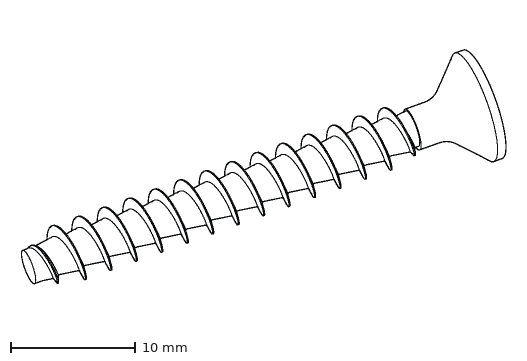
import cadquery as cq
import math


total_length = 40.0
head_diameter = 9.3
rim_height = 0.75
head_cone_half_angle = math.radians(45)

shank_diameter = 3.5
neck_fillet_radius = 2.0
shank_end_depth = 6.2

core_diameter = 2.86

pitch = 2.243
thread_diameter = 5.0
crest_width = 0.1
tooth_root_width = 0.5
heel_diameter = 3.3
heel_gap = 0.05
root_overlap = 0.015
start_depth = 5.83
lead_in_turns = 1
rise_turns = 1
full_turns = 12.9
fade_turns = 1.15
sunk_step = 0.003
sunk_heel_length = 0.1

head_radius = head_diameter / 2
shank_radius = shank_diameter / 2
core_radius = core_diameter / 2
thread_radius = thread_diameter / 2
heel_radius = heel_diameter / 2


def make_body():
    """Head, filleted neck, shank and plain core as one revolved profile."""
    cone_tip_depth = rim_height + (head_radius - shank_radius) / math.tan(head_cone_half_angle)
    tangent_length = neck_fillet_radius * math.tan(head_cone_half_angle / 2)
    fillet_end_depth = cone_tip_depth + tangent_length
    arc_center_radius = shank_radius + neck_fillet_radius

    def arc_point(angle):
        return (
            arc_center_radius - neck_fillet_radius * math.cos(angle),
            -fillet_end_depth + neck_fillet_radius * math.sin(angle),
        )

    return (
        cq.Workplane("XZ")
        .lineTo(head_radius, 0)
        .lineTo(head_radius, -rim_height)
        .lineTo(*arc_point(head_cone_half_angle))
        .threePointArc(arc_point(head_cone_half_angle / 2), arc_point(0))
        .lineTo(shank_radius, -shank_end_depth)
        .lineTo(core_radius, -shank_end_depth)
        .lineTo(core_radius, -total_length)
        .lineTo(0, -total_length)
        .close()
        .revolve(360, (0, 0), (0, 1))
    )


def thread_section(crest_radius, heel_radius, inner_radius, heel_end):
    """Corners of the thread section as (radius, height above the middle of the tooth)."""
    return [
        (inner_radius, tooth_root_width / 2),
        (crest_radius, crest_width / 2),
        (crest_radius, -crest_width / 2),
        (heel_radius, -tooth_root_width / 2),
        (inner_radius, heel_end),
    ]


def helix_edge(corner_from, corner_to, turn_from, turn_to):
    """Right-hand helix between two section corners; its radius and height change linearly with angle."""
    radius_from, height_from = corner_from
    radius_to, height_to = corner_to
    low = height_to - turn_to * pitch - start_depth
    high = height_from - turn_from * pitch - start_depth
    height = high - low
    turns = turn_to - turn_from
    if radius_from == radius_to:
        helix = cq.Wire.makeHelix(height / turns, height, radius_to)
    else:
        slant = math.hypot(radius_from - radius_to, height)
        cone_angle = math.degrees(math.atan2(radius_from - radius_to, height))
        helix = cq.Wire.makeHelix(slant / turns, slant, radius_to, angle=cone_angle)
    start_angle = 180 - 360 * turn_to
    helix = helix.rotate(cq.Vector(0, 0, 0), cq.Vector(0, 0, 1), start_angle)
    return helix.translate(cq.Vector(0, 0, low)).Edges()[0]


def make_thread():
    """Right-hand thread: a narrow tooth followed by a heel that tapers towards the tip."""
    inner_radius = core_radius - root_overlap
    heel_end = tooth_root_width / 2 - pitch + heel_gap
    buried_radius = shank_radius - root_overlap
    low_section = thread_section(buried_radius, heel_radius, inner_radius, heel_end)
    full_section = thread_section(thread_radius, heel_radius, inner_radius, heel_end)
    sunk_section = thread_section(
        inner_radius + 2 * sunk_step,
        inner_radius + sunk_step,
        inner_radius,
        -tooth_root_width / 2 - sunk_heel_length,
    )
    full_from = rise_turns
    full_to = full_from + full_turns
    stations = [
        (-lead_in_turns, low_section),
        (0, low_section),
        (full_from, full_section),
        (full_to, full_section),
        (full_to + fade_turns, sunk_section),
    ]

    faces = []
    edge_sets = []
    for (turn_from, section_from), (turn_to, section_to) in zip(stations, stations[1:]):
        edges = [
            helix_edge(corner_from, corner_to, turn_from, turn_to)
            for corner_from, corner_to in zip(section_from, section_to)
        ]
        for edge, next_edge in zip(edges, edges[1:] + edges[:1]):
            faces.append(cq.Face.makeRuledSurface(edge, next_edge))
        edge_sets.append(edges)

    top_corners = [edge.endPoint() for edge in edge_sets[0]]
    tip_corners = [edge.startPoint() for edge in edge_sets[-1]]
    for corners in (top_corners, tip_corners):
        faces.append(cq.Face.makeFromWires(cq.Wire.makePolygon(corners, close=True)))
    return cq.Workplane(obj=cq.Solid.makeSolid(cq.Shell.makeShell(faces)))


screw = make_body().union(make_thread()).solids()
result = screw.rotate((0, 0, 0), (1, 0, 0), -90)